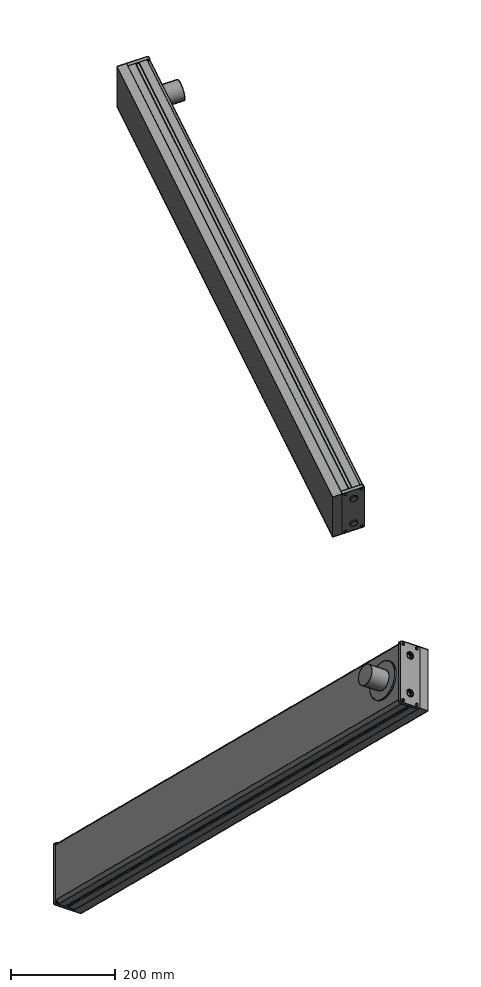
import cadquery as cq

overall_length = 1096.0
height = 130.0
screw_head_height = 3.0
bar_length = overall_length - screw_head_height

panel_thickness = 20.0
housing_back = 66.0
cap_thickness = 6.8

profile_chamfer_depth = 7.0
profile_chamfer_height = 7.0
groove_front = 36.0
groove_back = 43.0
groove_depth = 3.0

back_corner_radius = 4.0
mounting_hole_diameter = 5.0
mounting_hole_spacing_y = 33.0
mounting_hole_spacing_z = 120.0
screw_spacing = 80.0
screw_head_diameter = 15.0
screw_bore_diameter = 10.0
screw_recess_depth = 3.0

gland_x = 54.0
gland_flange_diameter = 79.0
gland_flange_thickness = 3.0
gland_tube_diameter = 43.0
gland_tip = 110.0

half_height = height / 2
housing_depth = housing_back - panel_thickness
housing_middle = panel_thickness + housing_depth / 2
profile_length = bar_length - 2 * cap_thickness
screw_centers = [(housing_middle, side * screw_spacing / 2) for side in (-1, 1)]


def box_between(x_range, y_range, z_range):
    """Axis-aligned box given by its limits along X, Y and Z."""
    size = [high - low for low, high in (x_range, y_range, z_range)]
    corner = (x_range[0], y_range[0], z_range[0])
    return cq.Workplane("XY").box(*size, centered=False).translate(corner)


def make_front_panel():
    return box_between((0, bar_length), (0, panel_thickness), (-half_height, half_height))


def make_profile():
    """Extruded housing with bevelled back corners and a groove along top and bottom."""
    half_outline = [
        (panel_thickness, half_height),
        (groove_front, half_height),
        (groove_front, half_height - groove_depth),
        (groove_back, half_height - groove_depth),
        (groove_back, half_height),
        (housing_back - profile_chamfer_depth, half_height),
        (housing_back, half_height - profile_chamfer_height),
    ]
    mirrored_half = [(y, -z) for y, z in reversed(half_outline)]
    section = cq.Workplane("YZ", origin=(cap_thickness, 0, 0)).polyline(half_outline + mirrored_half).close()
    return section.extrude(profile_length)


def screw_cylinders(x, diameter, length):
    """Cylinders along X at both screw places, starting in the plane at x."""
    return cq.Workplane("YZ", origin=(x, 0, 0)).pushPoints(screw_centers).circle(diameter / 2).extrude(length)


def make_cap_plate(x_start):
    """Plate closing one end of the profile, with rounded back corners and four corner holes."""
    x_range = (x_start, x_start + cap_thickness)
    plate = box_between(x_range, (panel_thickness, housing_back), (-half_height, half_height))
    plate = plate.edges("|X and >Y").fillet(back_corner_radius)
    mounting_holes = (
        cq.Workplane("YZ", origin=(x_start, housing_middle, 0))
        .rect(mounting_hole_spacing_y, mounting_hole_spacing_z, forConstruction=True)
        .vertices()
        .circle(mounting_hole_diameter / 2)
        .extrude(cap_thickness)
    )
    return plate.cut(mounting_holes)


def make_left_cap():
    """End cap with a round recess and a smaller through bore at each screw place."""
    recesses = screw_cylinders(0, screw_head_diameter, screw_recess_depth)
    bores = screw_cylinders(0, screw_bore_diameter, cap_thickness)
    return make_cap_plate(0).cut(recesses).cut(bores)


def make_right_cap():
    """End cap with a round head standing out at each screw place."""
    heads = screw_cylinders(bar_length, screw_head_diameter, screw_head_height)
    return make_cap_plate(bar_length - cap_thickness).union(heads)


def make_gland():
    """Round flange on the back of the profile with a tube pointing backwards."""
    base = cq.Workplane("XZ", origin=(gland_x, housing_back, 0))
    flange = base.circle(gland_flange_diameter / 2).extrude(-gland_flange_thickness)
    tube = base.circle(gland_tube_diameter / 2).extrude(housing_back - gland_tip)
    return flange.union(tube)


front_panel = make_front_panel()
profile = make_profile()
left_cap = make_left_cap()
right_cap = make_right_cap()
gland = make_gland()

result = cq.Compound.makeCompound([
    front_panel.val(),
    profile.val(),
    left_cap.val(),
    right_cap.val(),
    gland.val(),
])